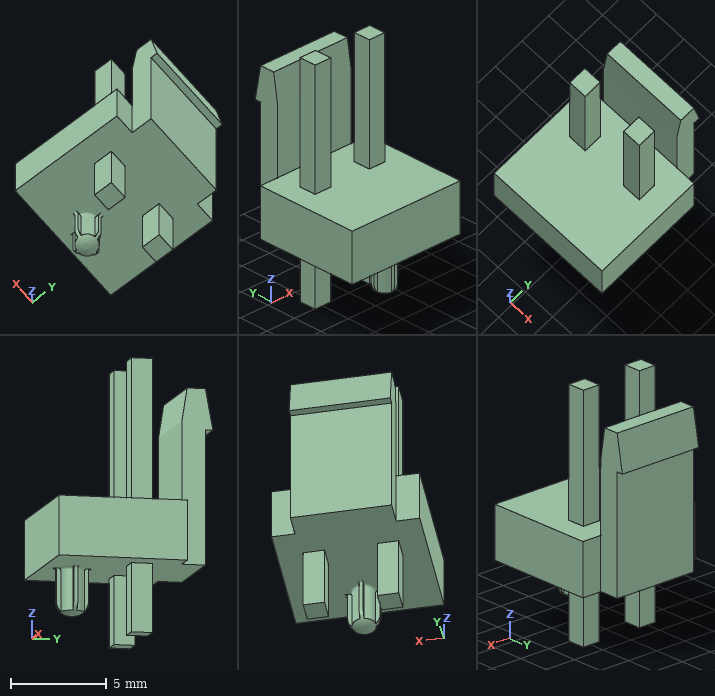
import cadquery as cq


housing_width = 7.91
housing_depth = 6.9
housing_height = 3.2

pin_size = 1.14
pin_pitch = 3.95
pin_y = 4.8
pin_length = 14.6
pin_tail = 3.68

total_depth = 8.6
wall_width = 5.4
wall_thickness = 1.28
wall_height = 9.4
hook_underside = 7.2
lead_in_height = 1.82
lead_in_depth = 0.29

peg_y = 1.64
peg_length = 2.51
peg_core_diameter = 1.28
peg_rib_diameter = 1.75
peg_rib_thickness = 0.22
peg_tip_radius = 0.75
peg_root_fillet = 0.13


def make_housing():
    return cq.Workplane("XY").box(
        housing_width, housing_depth, housing_height, centered=(True, False, False)
    )


def make_pin(x):
    return (
        cq.Workplane("XY", origin=(x, pin_y, -pin_tail))
        .rect(pin_size, pin_size)
        .extrude(pin_length)
    )


def make_locking_wall():
    inner_y = housing_depth
    outer_y = inner_y + wall_thickness
    return (
        cq.Workplane("YZ")
        .moveTo(inner_y, 0)
        .lineTo(outer_y, 0)
        .lineTo(outer_y, hook_underside)
        .lineTo(total_depth, hook_underside)
        .lineTo(outer_y, wall_height)
        .lineTo(inner_y + lead_in_depth, wall_height)
        .lineTo(inner_y, wall_height - lead_in_height)
        .close()
        .extrude(wall_width / 2, both=True)
    )


def make_flared_round(diameter):
    """Round post below the housing whose root flares out in a concave fillet."""
    radius = diameter / 2
    root_radius = radius + peg_root_fillet
    return (
        cq.Workplane("XZ", origin=(0, peg_y, 0))
        .moveTo(0, 0)
        .lineTo(root_radius, 0)
        .radiusArc((radius, -peg_root_fillet), -peg_root_fillet)
        .lineTo(radius, -peg_length)
        .lineTo(0, -peg_length)
        .close()
        .revolve(360, (0, 0, 0), (0, 1, 0))
    )


def make_peg():
    """Round core with two crossed ribs; core and rib ends flare at the root, and the tip is rounded."""
    base = cq.Workplane("XY", origin=(0, peg_y, 0))
    rib_span = peg_rib_diameter + 2 * peg_root_fillet
    rib_cross = base.rect(rib_span, peg_rib_thickness).extrude(-peg_length)
    rib_cross = rib_cross.union(base.rect(peg_rib_thickness, rib_span).extrude(-peg_length))
    envelope = make_flared_round(peg_rib_diameter).faces("<Z").edges().fillet(peg_tip_radius)
    return make_flared_round(peg_core_diameter).union(rib_cross).intersect(envelope)


body = make_housing().union(make_peg()).union(make_locking_wall())
for pin_x in (-pin_pitch / 2, pin_pitch / 2):
    body = body.union(make_pin(pin_x))

result = body